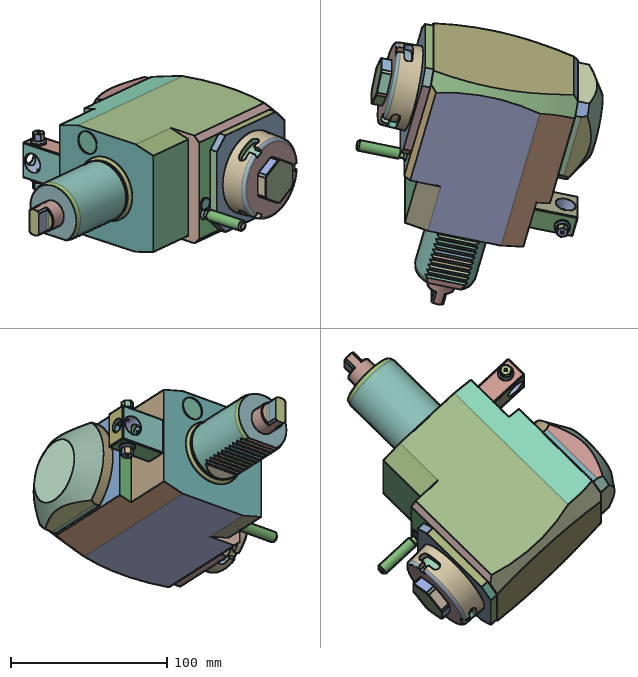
import cadquery as cq
import math


OVERALL_LENGTH = 186.0

HEIGHT = 75.0
HALF_HEIGHT = HEIGHT / 2
BACK_Y = 114.0
STEP_Y = 35.0
REAR_HALF_WIDTH = 48.0
FRONT_HALF_WIDTH = 39.0
SLOPE_START_X = 24.2
SLOPE = math.tan(math.radians(15))
SIDE_CHAMFER = 3.9
CORNER_CHAMFER = 3.5
CONE_X, CONE_Y = 9.9, -15.3
CONE_RADIUS = 124.6
PLUG_X, PLUG_Z, PLUG_RADIUS = -16.0, 27.5, 7.6
PLUG_DEPTH = 0.7

SPINDLE_Y = 80.0
PLATE_END_X = 53.4
PLATE_SIDE = 67.3
PLATE_CHAMFER = 8.5
COLLAR_END_X = 70.5
COLLAR_RADIUS, COLLAR_END_RADIUS = 27.7, 27.0
COLLAR_ROUND = 2.2
NUT_END_X = 77.4
NUT_FLATS = 27.0
NUT_CORNERS = 30.0
NUT_CHAMFER = 0.4
KEY_COUNT = 3
KEY_X = 62.7
KEY_LENGTH, KEY_WIDTH, KEY_DEPTH = 19.0, 5.5, 3.3
KEY_ENTRY_WIDTH = 5.2

CAP_END_X = -66.5
CAP_CONE_X = -55.5
CAP_SLOPE_X = -51.7
CAP_RADIUS = 37.5
CAP_FACE_RADIUS = 21.2
CAP_HALF_HEIGHT = 29.4
CAP_BACK_Y = 110.0
CAP_BEVEL = 6.9

FLANGE_RADIUS, FLANGE_LENGTH, FLANGE_ROUND = 21.5, 2.2, 1.5
NECK_RADIUS, NECK_END = 19.5, 3.9
SHANK_RADIUS, SHANK_END = 20.0, 53.0
SHANK_TIP_RADIUS, SHANK_TIP_LENGTH = 19.2, 3.0
DRIVE_RADIUS, DRIVE_END = 9.0, 63.8
TANG_END = BACK_Y - OVERALL_LENGTH
TANG_WIDTH = 8.0
TANG_EDGE_CHAMFER = 1.7
TANG_ROOT_FILLET = 1.0
DRIVE_CHAMFER = 0.5
RACK_Z = -15.8
RACK_START = 4.6
TOOTH_COUNT, TOOTH_DEPTH = 10, 1.3
FIRST_TOOTH, LAST_TOOTH = 11.7, 47.8
TOOTH_PITCH = (LAST_TOOTH - FIRST_TOOTH) / (TOOTH_COUNT - 1)

BLOCK_END_X = -71.0
BLOCK_FRONT_Y, BLOCK_BACK_Y = 1.3, 16.4
BLOCK_HALF_HEIGHT = 12.3
BLOCK_CHAMFER = 0.5
COOLANT_X, COOLANT_Y = -62.9, 7.5
CROSS_HOLE_RADIUS = 6.5
SIDE_HOLE_RADIUS, FEED_HOLE_RADIUS = 4.6, 1.3
SIDE_HOLE_END_X = -54.9
NOZZLE_TOP = 19.3
NOZZLE_FLATS = 6.5
NOZZLE_BORE_RADIUS = 1.0
SEAT_RADIUS, SEAT_TOP, SEAT_RIM = 5.0, 14.5, 1.1

PIN_Y, PIN_Z = 40.4, -17.3
PIN_END_X, PIN_START_X = 80.4, 52.5
PIN_RADIUS, PIN_CHAMFER = 3.5, 1.1
PIN_NECK_RADIUS = 2.6
PIN_BASE_RADIUS, PIN_BASE_END_X = 4.0, 49.7
DISC_Z, DISC_RADIUS, DISC_THICKNESS = -10.6, 4.0, 1.0

HEXAGON_HALF_STEP = 30
OVERLAP = 1.9
BIG = 372.0


def x_cylinder(x_start, x_end, radius, y, z):
    start = cq.Vector(x_start, y, z)
    return cq.Workplane(obj=cq.Solid.makeCylinder(radius, x_end - x_start, start, cq.Vector(1, 0, 0)))


def x_cone(x_start, x_end, start_radius, end_radius, y, z):
    start = cq.Vector(x_start, y, z)
    cone = cq.Solid.makeCone(start_radius, end_radius, x_end - x_start, start, cq.Vector(1, 0, 0))
    return cq.Workplane(obj=cone)


def x_prism(sketch, x_start, x_end):
    """Extrude a sketch made in the YZ plane along X."""
    return sketch.extrude(x_end - x_start).translate((x_start, 0, 0))


def y_prism(points, y_start, y_end):
    """Extrude an XZ outline from y_start to y_end."""
    outline = cq.Workplane("XZ", origin=(0, y_end, 0)).polyline(points).close()
    return outline.extrude(y_end - y_start)


def mirrored_in_z(points):
    """Close an upper outline with its mirror image below."""
    return points + [(x, -z) for x, z in reversed(points) if z]


def sloped_z(x):
    """Height of the falling top face at a distance x from the shank axis."""
    return HALF_HEIGHT - SLOPE * (x - SLOPE_START_X)


def across_corners(flats):
    """Width across the corners of a hexagon with the given width across its flats."""
    return flats / math.cos(math.radians(HEXAGON_HALF_STEP))


def make_housing():
    front_z = sloped_z(FRONT_HALF_WIDTH)
    front = y_prism(mirrored_in_z([
        (-FRONT_HALF_WIDTH, front_z), (-SLOPE_START_X, HALF_HEIGHT),
        (SLOPE_START_X, HALF_HEIGHT), (FRONT_HALF_WIDTH, front_z),
    ]), 0, STEP_Y + OVERLAP)
    rear = y_prism(mirrored_in_z([
        (-REAR_HALF_WIDTH, sloped_z(REAR_HALF_WIDTH)), (-SLOPE_START_X, HALF_HEIGHT),
        (REAR_HALF_WIDTH - SIDE_CHAMFER, HALF_HEIGHT), (REAR_HALF_WIDTH, HALF_HEIGHT - SIDE_CHAMFER),
    ]), STEP_Y, BACK_Y)
    rear = rear.faces(">Y").edges("<X").chamfer(CORNER_CHAMFER)

    cone_profile = mirrored_in_z([
        (0, HALF_HEIGHT), (CONE_RADIUS, HALF_HEIGHT), (CONE_RADIUS + HALF_HEIGHT, 0),
    ])
    cones = (cq.Workplane("XZ").polyline(cone_profile).close()
             .revolve(360, (0, 0), (0, 1)).translate((CONE_X, CONE_Y, 0)))
    recess = cq.Workplane("XZ").center(PLUG_X, PLUG_Z).circle(PLUG_RADIUS).extrude(-PLUG_DEPTH)
    return front.union(rear.intersect(cones)).cut(recess)


def make_cap():
    profile = [
        (-REAR_HALF_WIDTH + OVERLAP, 0), (-REAR_HALF_WIDTH + OVERLAP, CAP_RADIUS),
        (CAP_CONE_X, CAP_RADIUS), (CAP_END_X, CAP_FACE_RADIUS), (CAP_END_X, 0),
    ]
    cap = (cq.Workplane("XY").polyline(profile).close()
           .revolve(360, (0, 0), (1, 0)).translate((0, SPINDLE_Y, 0)))

    end_z = CAP_HALF_HEIGHT - SLOPE * (CAP_SLOPE_X - CAP_END_X)
    envelope = y_prism(mirrored_in_z([
        (CAP_END_X, end_z), (CAP_SLOPE_X, CAP_HALF_HEIGHT), (0, CAP_HALF_HEIGHT),
    ]), 0, CAP_BACK_Y)
    bevel_z = CAP_HALF_HEIGHT - CAP_BEVEL
    bevels = cq.Workplane("YZ").polyline([
        (0, CAP_HALF_HEIGHT), (CAP_BACK_Y - CAP_BEVEL, CAP_HALF_HEIGHT), (CAP_BACK_Y, bevel_z),
        (CAP_BACK_Y, -bevel_z), (CAP_BACK_Y - CAP_BEVEL, -CAP_HALF_HEIGHT), (0, -CAP_HALF_HEIGHT),
    ]).close()
    return cap.intersect(envelope).intersect(x_prism(bevels, CAP_END_X, 0))


def make_key_slot(angle):
    """L-shaped spanner slot in the collar, centred at an angle from +Y toward +Z."""
    floor_radius = COLLAR_END_RADIUS - KEY_DEPTH
    slot = (cq.Workplane("XZ").center(KEY_X, 0).slot2D(KEY_LENGTH, KEY_WIDTH, 90)
            .extrude(-COLLAR_RADIUS - OVERLAP))
    entry = (cq.Workplane("XY").box(BIG, BIG, KEY_ENTRY_WIDTH, centered=(False, False, True))
             .translate((KEY_X, 0, 0)))
    core = x_cylinder(0, BIG, floor_radius, 0, 0)
    cutter = slot.union(entry).cut(core)
    return cutter.rotate((0, 0, 0), (1, 0, 0), angle).translate((0, SPINDLE_Y, 0))


def hexagon_bar(flats, turn):
    """Hexagonal bar for the nut, on the spindle axis; unturned, it has two corners level with the axis."""
    bar = x_prism(cq.Workplane("YZ").polygon(6, across_corners(flats)), COLLAR_END_X - OVERLAP, NUT_END_X)
    return bar.rotate((0, 0, 0), (1, 0, 0), turn).translate((0, SPINDLE_Y, 0))


def make_spindle():
    plate = x_prism(cq.Workplane("YZ").rect(PLATE_SIDE, PLATE_SIDE), REAR_HALF_WIDTH - OVERLAP, PLATE_END_X)
    plate = plate.edges("|X").chamfer(PLATE_CHAMFER).translate((0, SPINDLE_Y, 0))
    collar = x_cone(PLATE_END_X, COLLAR_END_X, COLLAR_RADIUS, COLLAR_END_RADIUS, SPINDLE_Y, 0)
    collar = collar.faces(">X").edges().fillet(COLLAR_ROUND)
    for index in range(KEY_COUNT):
        collar = collar.cut(make_key_slot(index * 360 / KEY_COUNT))
    nut = hexagon_bar(NUT_FLATS, HEXAGON_HALF_STEP).intersect(hexagon_bar(NUT_CORNERS, 0))
    nut = nut.faces(">X").edges().chamfer(NUT_CHAMFER)
    return plate.union(collar).union(nut)


def make_shank():
    flange = (cq.Workplane("XZ", origin=(0, OVERLAP, 0)).circle(FLANGE_RADIUS)
              .extrude(OVERLAP + FLANGE_LENGTH)
              .faces("<Y").edges().fillet(FLANGE_ROUND))
    profile = [
        (0, 0), (NECK_RADIUS, 0), (NECK_RADIUS, -NECK_END), (SHANK_RADIUS, -NECK_END),
        (SHANK_RADIUS, SHANK_TIP_LENGTH - SHANK_END), (SHANK_TIP_RADIUS, -SHANK_END), (0, -SHANK_END),
    ]
    shank = cq.Workplane("XY").polyline(profile).close().revolve(360, (0, 0), (0, 1)).union(flange)

    below_z = RACK_Z - SHANK_RADIUS
    flat = [
        (-RACK_START, -SHANK_RADIUS), (-RACK_START - SHANK_RADIUS - RACK_Z, RACK_Z),
        (-SHANK_END, RACK_Z), (-SHANK_END, below_z), (-RACK_START, below_z),
    ]
    shank = shank.cut(cq.Workplane("YZ").polyline(flat).close().extrude(SHANK_RADIUS, both=True))
    for index in range(TOOTH_COUNT):
        y = -FIRST_TOOTH - index * TOOTH_PITCH
        notch = [(y - TOOTH_DEPTH, RACK_Z), (y, RACK_Z + TOOTH_DEPTH), (y + TOOTH_DEPTH, RACK_Z)]
        shank = shank.cut(cq.Workplane("YZ").polyline(notch).close().extrude(SHANK_RADIUS, both=True))
    return shank


def make_drive():
    drive = cq.Workplane("XZ").circle(DRIVE_RADIUS).extrude(DRIVE_END)
    drive = drive.faces("<Y").edges().chamfer(DRIVE_CHAMFER)
    slab = (cq.Workplane("XZ").rect(TANG_WIDTH, 2 * DRIVE_RADIUS).extrude(-TANG_END)
            .edges("|Y").chamfer(TANG_EDGE_CHAMFER))
    tang = cq.Workplane("XZ").circle(DRIVE_RADIUS).extrude(-TANG_END).intersect(slab)

    root = cq.selectors.BoxSelector(
        (-TANG_WIDTH, -DRIVE_END - TANG_ROOT_FILLET, -DRIVE_RADIUS),
        (TANG_WIDTH, -DRIVE_END + TANG_ROOT_FILLET, DRIVE_RADIUS))
    return drive.union(tang).edges("|Z").edges(root).fillet(TANG_ROOT_FILLET)


def make_nozzle():
    rim_z = BLOCK_HALF_HEIGHT + SEAT_RIM
    hexagon_corners = across_corners(NOZZLE_FLATS)
    seat_profile = [
        (0, SEAT_TOP), (hexagon_corners / 2, SEAT_TOP), (SEAT_RADIUS, rim_z),
        (SEAT_RADIUS, BLOCK_HALF_HEIGHT - OVERLAP), (0, BLOCK_HALF_HEIGHT - OVERLAP),
    ]
    seat = cq.Workplane("XZ").polyline(seat_profile).close().revolve(360, (0, 0), (0, 1))
    tip = (cq.Workplane("XY", origin=(0, 0, BLOCK_HALF_HEIGHT)).polygon(6, hexagon_corners)
           .extrude(NOZZLE_TOP - BLOCK_HALF_HEIGHT).rotate((0, 0, 0), (0, 0, 1), 90))
    return seat.union(tip).translate((COOLANT_X, COOLANT_Y, 0))


def make_coolant_block():
    length = -FRONT_HALF_WIDTH - BLOCK_END_X + OVERLAP
    block = (cq.Workplane("XY")
             .box(length, BLOCK_BACK_Y - BLOCK_FRONT_Y, 2 * BLOCK_HALF_HEIGHT, centered=(False, False, True))
             .translate((BLOCK_END_X, BLOCK_FRONT_Y, 0)))
    block = block.edges("|X").chamfer(BLOCK_CHAMFER).faces("<X").edges().chamfer(BLOCK_CHAMFER)
    nozzle = make_nozzle()
    block = block.union(nozzle).union(nozzle.mirror("XY"))

    cross_hole = (cq.Workplane("XZ", origin=(COOLANT_X, BLOCK_BACK_Y, 0)).circle(CROSS_HOLE_RADIUS)
                  .extrude(BLOCK_BACK_Y - BLOCK_FRONT_Y))
    side_hole = x_cylinder(BLOCK_END_X, SIDE_HOLE_END_X, SIDE_HOLE_RADIUS, COOLANT_Y, 0)
    feed_hole = x_cylinder(SIDE_HOLE_END_X, -FRONT_HALF_WIDTH, FEED_HOLE_RADIUS, COOLANT_Y, 0)
    bore = (cq.Workplane("XY").center(COOLANT_X, COOLANT_Y).circle(NOZZLE_BORE_RADIUS)
            .extrude(NOZZLE_TOP, both=True))
    return block.cut(cross_hole).cut(side_hole).cut(feed_hole).cut(bore)


def make_pin():
    root_x = REAR_HALF_WIDTH - OVERLAP
    rod = x_cylinder(PIN_START_X, PIN_END_X, PIN_RADIUS, PIN_Y, PIN_Z)
    rod = rod.faces(">X").edges().chamfer(PIN_CHAMFER)
    neck = x_cylinder(root_x, PIN_START_X + OVERLAP, PIN_NECK_RADIUS, PIN_Y, PIN_Z)
    base = x_cone(REAR_HALF_WIDTH, PIN_BASE_END_X, PIN_BASE_RADIUS, PIN_NECK_RADIUS, PIN_Y, PIN_Z)
    disc = x_cylinder(root_x, REAR_HALF_WIDTH + DISC_THICKNESS, DISC_RADIUS, PIN_Y, DISC_Z)
    return rod.union(neck).union(base).union(disc)


result = make_housing()
for component in (make_cap(), make_spindle(), make_shank(), make_drive(), make_coolant_block(), make_pin()):
    result = result.union(component)